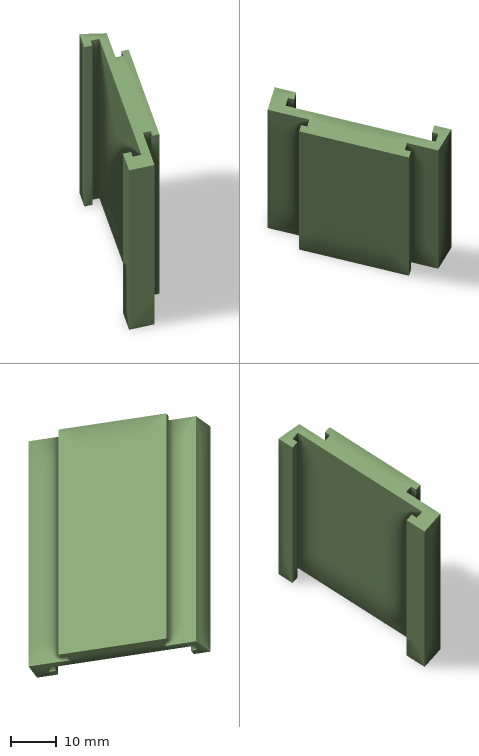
import cadquery as cq

width = 40.0
depth = 9.15
length = 55.0

plate_back = 5.8
plate_thickness = 2.0
plate_front = plate_back - plate_thickness
left_slant = 1.4
lip_thickness = 1.8
lip_overhang = 1.4
left_wall = 2.5
right_wall = 3.5

rail_left = 7.1
rail_width = 24.85
rail_overhang = 1.4
rail_flange = 1.6

channel_left = left_wall
channel_right = width - right_wall
rail_right = rail_left + rail_width
flange_front = depth - rail_flange

profile = [
    (0, 0),
    (channel_left + lip_overhang, 0),
    (channel_left + lip_overhang, lip_thickness),
    (channel_left, lip_thickness),
    (channel_left, plate_front),
    (channel_right, plate_front),
    (channel_right, lip_thickness),
    (channel_right - lip_overhang, lip_thickness),
    (channel_right - lip_overhang, 0),
    (width, 0),
    (width, plate_back),
    (rail_right - rail_overhang, plate_back),
    (rail_right - rail_overhang, flange_front),
    (rail_right, flange_front),
    (rail_right, depth),
    (rail_left, depth),
    (rail_left, flange_front),
    (rail_left + rail_overhang, flange_front),
    (rail_left + rail_overhang, plate_back),
    (left_slant, plate_back),
]

result = cq.Workplane("XY").polyline(profile).close().extrude(length)